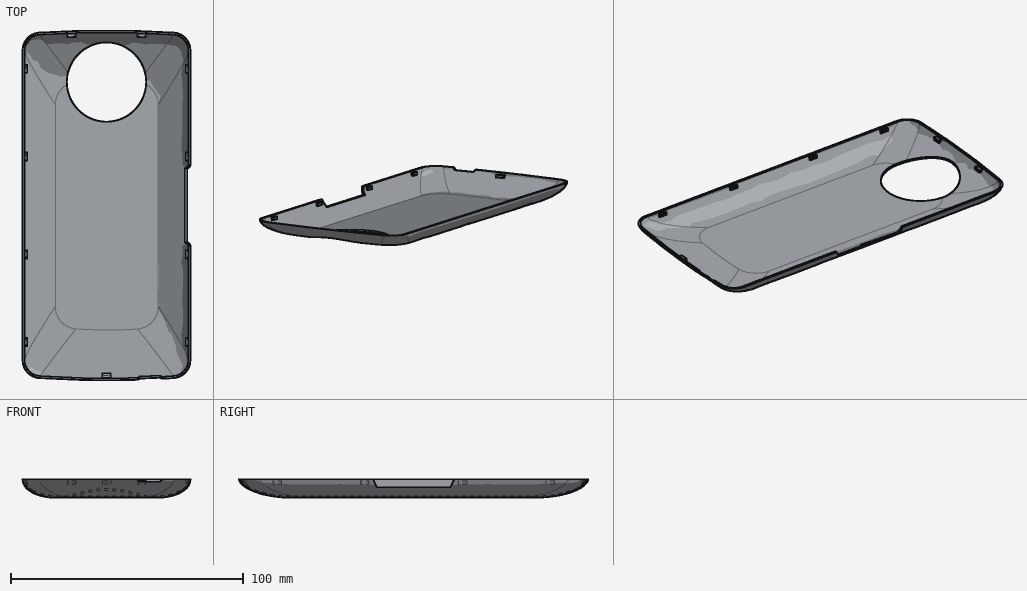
import cadquery as cq
import math

LENGTH = 150.5
WIDTH = 72.2
DEPTH = 8.0
WALL = 0.9

END_BOW = 1.5
RIM_CORNER_RADIUS = 7.8
BACK_CORNER_RADIUS = 10.5

SIDE_RUN = 14.0
END_RUN = 19.5
END_LEAN = 0.3
SECTION_COUNT = 7

CAMERA_DIAMETER = 34.0
CAMERA_Y = 53.0

NOTCH_DEPTH = 3.5
NOTCH_RIM_LENGTH = 34.9
NOTCH_FLOOR_LENGTH = 31.6

PRY_X = 18.7
PRY_DEPTH = 1.0
PRY_RIM_LENGTH = 10.8
PRY_FLOOR_LENGTH = 8.7

NUB_LENGTH = 3.6
NUB_HEIGHT = 1.2
NUB_DROP = 0.8
SIDE_NUB_REACH = 2.0
END_NUB_REACH = 3.0
SIDE_NUB_Y = (-58.7, -21.0, 21.0, 58.7)
TOP_NUB_X = (-15.0, 15.0)
BOTTOM_NUB_X = (0.0,)

CUT_REACH = 15.0


def outline(half_width, half_length, corner_radius, z):
    """Closed wire with straight sides, bowed ends and rounded corners."""
    shoulder = half_length - END_BOW
    sharp = (
        cq.Workplane("XY")
        .moveTo(half_width, -shoulder)
        .lineTo(half_width, shoulder)
        .threePointArc((0, half_length), (-half_width, shoulder))
        .lineTo(-half_width, -shoulder)
        .threePointArc((0, -half_length), (half_width, -shoulder))
        .close()
        .val()
    )
    rounded = sharp.fillet2D(corner_radius, sharp.Vertices())
    return rounded.translate(cq.Vector(0, 0, z))


def bowl(inset):
    """Solid bowl whose surface lies the given distance inside the outer skin."""
    depth = DEPTH - inset
    sections = []
    for i in range(SECTION_COUNT):
        fraction = i / (SECTION_COUNT - 1)
        angle = fraction * math.pi / 2
        drop = depth * math.sin(angle)
        curl = 1 - math.cos(angle)
        half_width = WIDTH / 2 - inset - (SIDE_RUN - inset) * curl
        half_length = LENGTH / 2 - inset - (END_RUN - inset) * curl - END_LEAN * drop
        radius = RIM_CORNER_RADIUS - inset + (BACK_CORNER_RADIUS - RIM_CORNER_RADIUS) * fraction
        sections.append(outline(half_width, half_length, radius, -drop))
    return cq.Workplane(cq.Solid.makeLoft(sections))


def rim_notch(plane, rim_length, floor_length, depth):
    """Trapezoidal cutter that drops from the rim, extruded along the plane's normal."""
    return (
        cq.Workplane(plane)
        .polyline([
            (-rim_length / 2, 0),
            (-floor_length / 2, -depth),
            (floor_length / 2, -depth),
            (rim_length / 2, 0),
        ])
        .close()
        .extrude(CUT_REACH)
    )


def nub(x, y, size_x, size_y):
    """Block just below the rim, centred on a point of the outer edge."""
    return cq.Workplane("XY").box(size_x, size_y, NUB_HEIGHT).translate((x, y, -NUB_DROP - NUB_HEIGHT / 2))


shell = bowl(0).cut(bowl(WALL))
nub_limit = bowl(WALL / 2)

nubs = []
for side in (-1, 1):
    for y in SIDE_NUB_Y:
        nubs.append(nub(side * WIDTH / 2, y, 2 * SIDE_NUB_REACH, NUB_LENGTH))
for end, places in ((1, TOP_NUB_X), (-1, BOTTOM_NUB_X)):
    for x in places:
        nubs.append(nub(x, end * LENGTH / 2, NUB_LENGTH, 2 * END_NUB_REACH))
for block in nubs:
    shell = shell.union(block.intersect(nub_limit))

camera_hole = (
    cq.Workplane("XY")
    .center(0, CAMERA_Y)
    .circle(CAMERA_DIAMETER / 2)
    .extrude(-CUT_REACH)
)
notch = rim_notch("YZ", NOTCH_RIM_LENGTH, NOTCH_FLOOR_LENGTH, NOTCH_DEPTH)
notch = notch.translate((WIDTH / 2 - CUT_REACH / 2, 0, 0))
pry_slot = rim_notch("XZ", PRY_RIM_LENGTH, PRY_FLOOR_LENGTH, PRY_DEPTH)
pry_slot = pry_slot.translate((PRY_X, CUT_REACH / 2 - LENGTH / 2, 0))

result = shell.cut(camera_hole).cut(notch).cut(pry_slot)